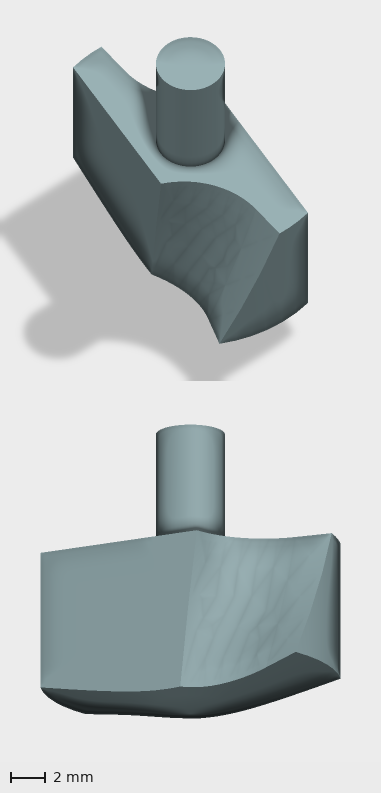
import cadquery as cq
import math

cutter_diameter = 17.5
body_thickness = 6.26
overall_height = 16.9
body_height = 10.01
point_height = 1.87
shank_diameter = 4.0

lip_inner_x = 6.44
lip_inner_y = 0.66
lip_angle = 6.5
gullet_radius = 5.22
twist_per_unit = 3.086

cutter_radius = cutter_diameter / 2
clearance_reach = 1.2 * cutter_radius


def make_body():
    """Flat-sided slab of a round bar with a conical lower point."""
    half_profile = (
        cq.Workplane("XZ")
        .moveTo(0, 0)
        .lineTo(cutter_radius, point_height)
        .lineTo(cutter_radius, body_height)
        .lineTo(0, body_height)
        .close()
    )
    bar = half_profile.revolve(360, (0, 0, 0), (0, 1, 0))
    slab = cq.Workplane("XY").box(
        cutter_diameter, body_thickness, body_height, centered=(True, True, False)
    )
    return bar.intersect(slab)


def make_flute():
    """Twisted solid that clears one side of the body."""
    slope = math.radians(lip_angle)
    center_x = lip_inner_x + gullet_radius * math.sin(slope)
    center_y = lip_inner_y - gullet_radius * math.cos(slope)

    def gullet_point(degrees):
        angle = math.radians(degrees)
        x = center_x + gullet_radius * math.cos(angle)
        y = center_y + gullet_radius * math.sin(angle)
        return x, y

    arc_start = 90 + lip_angle
    arc_end = 180
    gullet_left_x = center_x - gullet_radius
    lip_outer_y = lip_inner_y + (clearance_reach - lip_inner_x) * math.tan(slope)
    total_twist = twist_per_unit * body_height

    section = (
        cq.Workplane("XY")
        .transformed(rotate=(0, 0, -total_twist))
        .moveTo(clearance_reach, lip_outer_y)
        .lineTo(lip_inner_x, lip_inner_y)
        .threePointArc(gullet_point((arc_start + arc_end) / 2), gullet_point(arc_end))
        .lineTo(gullet_left_x, -clearance_reach)
        .lineTo(clearance_reach, -clearance_reach)
        .close()
    )
    return section.twistExtrude(body_height, total_twist)


def make_shank():
    """Round drive shank on top of the body."""
    shank = cq.Workplane("XY").workplane(offset=body_height).circle(shank_diameter / 2)
    return shank.extrude(overall_height - body_height)


result = make_body()
flute = make_flute()
for flute_position in (0, 180):
    result = result.cut(flute.rotate((0, 0, 0), (0, 0, 1), flute_position))
result = result.union(make_shank())